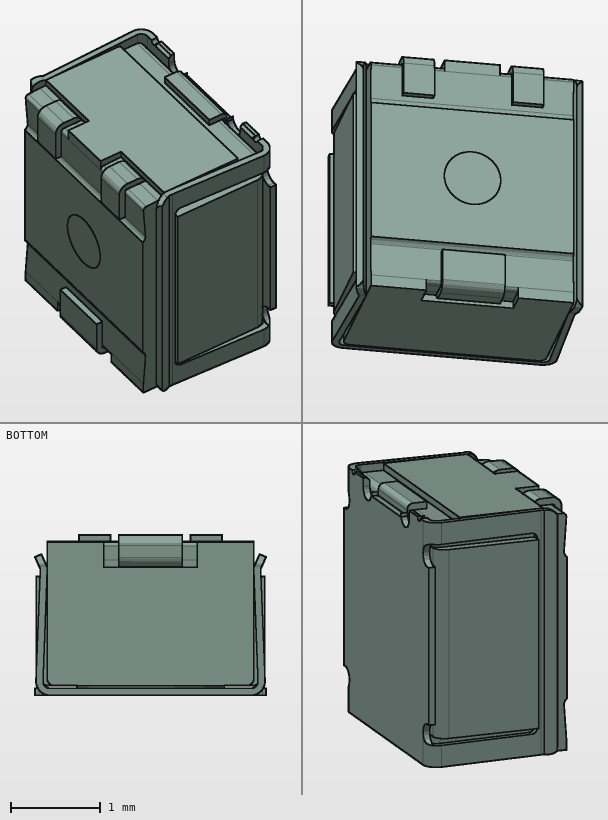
import cadquery as cq
import math

HEIGHT = 2.84
HALF_HEIGHT = HEIGHT / 2
WIDTH = 2.58
HALF_WIDTH = WIDTH / 2
DEPTH = 1.79
BACK_Y = DEPTH / 2
FRONT_Y = -DEPTH / 2
SHEET = 0.08

HOUSING_HALF_WIDTH = 1.153
HOUSING_BACK_Y = 0.787
FACE_Y = -0.82
BACK_FILLET = 0.082
STEP_TOP_Z = HALF_HEIGHT - SHEET
STEP_Y = 0.471
TONGUE_HALF_WIDTH = 0.315
RECESS_BACK_Y = -0.535
BOTTOM_RECESS_HALF_WIDTH = 0.523
PANEL_X = 1.275
PANEL_HALF_HEIGHT = 1.095
PANEL_CORNER = 0.14

RELIEF_Y = -0.785
RELIEF_START_Z = 0.82
RELIEF_DEEP_Z = 0.892
RELIEF_END_Y = -0.812
RELIEF_END_Z = 1.287
RELIEF_DEPTH = RELIEF_Y - FACE_Y
RELIEF_RISE = RELIEF_DEEP_Z - RELIEF_START_Z
RELIEF_RADIUS = (RELIEF_DEPTH**2 + RELIEF_RISE**2) / (2 * RELIEF_DEPTH)
RECESS_EDGE_Y = -0.772
RECESS_SLOPE_Y = -0.615
RECESS_EDGE_Z = 1.332

PLATE_Y = BACK_Y - SHEET
BEND_RADIUS = 0.16
WALL_BACK_X = 1.278
BEND_X = WALL_BACK_X - BEND_RADIUS
WALL_FRONT_X = 1.23
WALL_FRONT_Y = -0.471
KINK_Y = -0.515
FLARE_ANGLE = math.radians(24)
FLARE_CORNER = 0.13
WINDOW_HALF_HEIGHT = 1.167
WINDOW_FRONT_Y = -0.432
WINDOW_CORNER = 0.07
EAR_HALF_HEIGHT = 0.915
EAR_SLOT_X = 1.247
EAR_SLOT_Z = (WINDOW_HALF_HEIGHT + EAR_HALF_HEIGHT) / 2

HOOK_HALF_WIDTH = 0.437
HOOK_FRONT_Y = 0.58
HOOK_RADIUS = 0.07
NOTCH_INNER_X = 0.445
NOTCH_OUTER_X = 0.7
NOTCH_RADIUS = (NOTCH_OUTER_X - NOTCH_INNER_X) / 2
NOTCH_X = (NOTCH_OUTER_X + NOTCH_INNER_X) / 2
NOTCH_BOTTOM_Z = 1.195
PLATE_TOP_Z = 1.278
HOOK_LEG_Z = 1.258
SMALL_NOTCH_X = 0.995
SMALL_NOTCH_RADIUS = 0.04
LUG_OUTER_X = SMALL_NOTCH_X - SMALL_NOTCH_RADIUS
LUG_CHAMFER = 0.035

TERMINAL_RADIUS = 0.115
TERMINAL_END_Z = 0.94
TOP_TERMINAL_WIDTH = 0.352
TOP_TERMINAL_X = 0.622
BOTTOM_TERMINAL_WIDTH = 0.71

PLUG_RADIUS = 0.32
PLUG_LENGTH = 0.085
DISC_RADIUS = 0.825


def box(x_range, y_range, z_range):
    """Box between the given limits along X, Y and Z."""
    size = [high - low for low, high in (x_range, y_range, z_range)]
    centre = [(high + low) / 2 for low, high in (x_range, y_range, z_range)]
    return cq.Workplane("XY").box(*size).translate(tuple(centre))


def cylinder_along_y(x, z, radius, y_range):
    """Cylinder whose axis is parallel to Y."""
    low, high = y_range
    return cq.Workplane("XZ", origin=(x, low, z)).circle(radius).extrude(low - high)


def both_sides(shape):
    """The shape and its mirror image across the YZ plane."""
    return shape.union(shape.mirror("YZ"))


def terminal(width, x):
    """Strip bent from a leg in the housing, over the top edge and down the front face."""
    inner = TERMINAL_RADIUS - SHEET
    top = HALF_HEIGHT
    bend_z = top - TERMINAL_RADIUS
    front_bend_y = FRONT_Y + TERMINAL_RADIUS
    rear_bend_y = RECESS_BACK_Y - TERMINAL_RADIUS
    diagonal = math.sqrt(0.5)
    outer_mid = TERMINAL_RADIUS * diagonal
    inner_mid = inner * diagonal
    return (
        cq.Workplane("YZ", origin=(x - width / 2, 0, 0))
        .moveTo(FRONT_Y, TERMINAL_END_Z)
        .lineTo(FRONT_Y, bend_z)
        .threePointArc((front_bend_y - outer_mid, bend_z + outer_mid), (front_bend_y, top))
        .lineTo(rear_bend_y, top)
        .threePointArc((rear_bend_y + outer_mid, bend_z + outer_mid), (RECESS_BACK_Y, bend_z))
        .lineTo(RECESS_BACK_Y - SHEET, bend_z)
        .threePointArc((rear_bend_y + inner_mid, bend_z + inner_mid), (rear_bend_y, bend_z + inner))
        .lineTo(front_bend_y, bend_z + inner)
        .threePointArc((front_bend_y - inner_mid, bend_z + inner_mid), (FRONT_Y + SHEET, bend_z))
        .lineTo(FRONT_Y + SHEET, TERMINAL_END_Z)
        .close()
        .extrude(width)
    )


terminals = [terminal(TOP_TERMINAL_WIDTH, side * TOP_TERMINAL_X) for side in (-1, 1)]
terminals.append(terminal(BOTTOM_TERMINAL_WIDTH, 0).mirror("XY"))

plug = cylinder_along_y(0, 0, PLUG_RADIUS, (FACE_Y, FACE_Y + PLUG_LENGTH))
disc = cylinder_along_y(0, 0, DISC_RADIUS, (HOUSING_BACK_Y, PLATE_Y))


def housing_block():
    """Block with rounded rear edges, a low rear top and a raised panel on each side."""
    width_range = (-HOUSING_HALF_WIDTH, HOUSING_HALF_WIDTH)
    rear = box(width_range, (FACE_Y, HOUSING_BACK_Y), (-HALF_HEIGHT, STEP_TOP_Z))
    rear = rear.edges("(>Y and |Z) or (>Y and >Z)").fillet(BACK_FILLET)
    front = box(width_range, (FACE_Y, STEP_Y), (STEP_TOP_Z, HALF_HEIGHT))
    panel = box(
        (-PANEL_X, PANEL_X), (WINDOW_FRONT_Y, HOUSING_BACK_Y), (-PANEL_HALF_HEIGHT, PANEL_HALF_HEIGHT)
    )
    panel = panel.edges(">Y and |Z").fillet(PANEL_CORNER)
    return rear.union(front).union(panel)


def front_relief():
    """Material removed along the upper part of the front face, round at its lower edge."""
    mid_angle = math.atan2(RELIEF_RISE, RELIEF_RADIUS - RELIEF_DEPTH) / 2
    arc_mid = (
        RELIEF_Y - RELIEF_RADIUS * (1 - math.cos(mid_angle)),
        RELIEF_DEEP_Z - RELIEF_RADIUS * math.sin(mid_angle),
    )
    return (
        cq.Workplane("YZ", origin=(-HALF_WIDTH, 0, 0))
        .moveTo(FACE_Y, RELIEF_START_Z)
        .threePointArc(arc_mid, (RELIEF_Y, RELIEF_DEEP_Z))
        .lineTo(RELIEF_END_Y, RELIEF_END_Z)
        .lineTo(FACE_Y, RELIEF_END_Z)
        .close()
        .extrude(WIDTH)
    )


def terminal_recess(x_range):
    """Recess in the top behind the front face, with a rounded front edge."""
    low, high = x_range
    edge_rise = RECESS_EDGE_Z - RELIEF_END_Z
    edge_run = RECESS_EDGE_Y - RELIEF_END_Y
    diagonal = math.sqrt(0.5)
    edge_mid = (RECESS_EDGE_Y - edge_run * diagonal, RELIEF_END_Z + edge_rise * diagonal)
    return (
        cq.Workplane("YZ", origin=(low, 0, 0))
        .moveTo(RECESS_BACK_Y, HALF_HEIGHT)
        .lineTo(RECESS_BACK_Y, STEP_TOP_Z)
        .lineTo(RECESS_SLOPE_Y, STEP_TOP_Z)
        .lineTo(RECESS_EDGE_Y, RECESS_EDGE_Z)
        .threePointArc(edge_mid, (RELIEF_END_Y, RELIEF_END_Z))
        .lineTo(FACE_Y, RELIEF_END_Z)
        .lineTo(FACE_Y, HALF_HEIGHT)
        .close()
        .extrude(high - low)
    )


def make_housing():
    body = housing_block()
    relief = front_relief()
    body = body.cut(relief).cut(relief.mirror("XY"))
    body = body.cut(both_sides(terminal_recess((TONGUE_HALF_WIDTH, HOUSING_HALF_WIDTH))))
    bottom_recess = terminal_recess((-BOTTOM_RECESS_HALF_WIDTH, BOTTOM_RECESS_HALF_WIDTH))
    body = body.cut(bottom_recess.mirror("XY"))
    for z_range in ((RELIEF_END_Z, HALF_HEIGHT), (-HALF_HEIGHT, -RELIEF_END_Z)):
        body = body.cut(box((-HALF_WIDTH, HALF_WIDTH), (FACE_Y, RELIEF_END_Y), z_range))
    for metal in terminals:
        body = body.cut(metal)
    return body.cut(plug)


housing = make_housing()


def cover_channel():
    """Back plate with two side walls that lean in and flare out at the front."""
    mid = math.sqrt(0.5)
    inner_radius = BEND_RADIUS - SHEET
    bend_y = BACK_Y - BEND_RADIUS
    tip = (HALF_WIDTH, KINK_Y - (HALF_WIDTH - WALL_FRONT_X) / math.tan(FLARE_ANGLE))
    inner_tip = (tip[0] - SHEET * math.cos(FLARE_ANGLE), tip[1] - SHEET * math.sin(FLARE_ANGLE))
    inner_x = HOUSING_HALF_WIDTH
    inner_kink_y = inner_tip[1] + (inner_tip[0] - inner_x) / math.tan(FLARE_ANGLE)
    half = (
        cq.Workplane("XY", origin=(0, 0, -HALF_HEIGHT))
        .moveTo(0, BACK_Y)
        .lineTo(BEND_X, BACK_Y)
        .threePointArc((BEND_X + BEND_RADIUS * mid, bend_y + BEND_RADIUS * mid), (WALL_BACK_X, bend_y))
        .lineTo(WALL_FRONT_X, WALL_FRONT_Y)
        .lineTo(WALL_FRONT_X, KINK_Y)
        .lineTo(*tip)
        .lineTo(*inner_tip)
        .lineTo(inner_x, inner_kink_y)
        .lineTo(inner_x, WALL_FRONT_Y)
        .lineTo(WALL_BACK_X - SHEET, bend_y)
        .threePointArc((BEND_X + inner_radius * mid, bend_y + inner_radius * mid), (BEND_X, PLATE_Y))
        .lineTo(0, PLATE_Y)
        .close()
        .extrude(HEIGHT)
    )
    corner_trim = (
        box((0, WIDTH), (inner_tip[1], BACK_Y), (-HALF_HEIGHT, HALF_HEIGHT))
        .edges("<Y and |X")
        .fillet(FLARE_CORNER)
    )
    return both_sides(half.intersect(corner_trim))


def side_window():
    """Opening in one side wall that runs back to the plate and has round front corners."""
    z_range = (-WINDOW_HALF_HEIGHT, WINDOW_HALF_HEIGHT)
    wall_part = box((HOUSING_HALF_WIDTH - SHEET, HALF_WIDTH), (WINDOW_FRONT_Y, PLATE_Y), z_range)
    return wall_part.edges("<Y and |X").fillet(WINDOW_CORNER)


def ear():
    """Flat ear of the back plate that reaches out through the window."""
    return box((BEND_X, HALF_WIDTH), (PLATE_Y, BACK_Y), (-EAR_SLOT_Z, EAR_SLOT_Z))


def ear_slot(side):
    """Slot with a round inner end, above (side 1) or below (side -1) the ear."""
    radius = (WINDOW_HALF_HEIGHT - EAR_HALF_HEIGHT) / 2
    z = side * EAR_SLOT_Z
    y_range = (PLATE_Y, BACK_Y)
    slot = box((EAR_SLOT_X, HALF_WIDTH), y_range, (z - radius, z + radius))
    return slot.union(cylinder_along_y(EAR_SLOT_X, z, radius, y_range))


def top_notches():
    """Round-bottomed notch beside the hook and a small round notch near the corner."""
    y_range = (PLATE_Y, BACK_Y)
    centre_z = NOTCH_BOTTOM_Z + NOTCH_RADIUS
    notch = cylinder_along_y(NOTCH_X, centre_z, NOTCH_RADIUS, y_range)
    notch = notch.union(box((NOTCH_INNER_X, NOTCH_OUTER_X), y_range, (centre_z, HALF_HEIGHT)))
    return notch.union(cylinder_along_y(SMALL_NOTCH_X, HALF_HEIGHT, SMALL_NOTCH_RADIUS, y_range))


def lug_chamfer():
    """Bevel on the inner top edge of the lug between the two notches."""
    return (
        cq.Workplane("YZ", origin=(NOTCH_OUTER_X, 0, 0))
        .moveTo(PLATE_Y, HALF_HEIGHT)
        .lineTo(PLATE_Y + LUG_CHAMFER, HALF_HEIGHT)
        .lineTo(PLATE_Y, HALF_HEIGHT - LUG_CHAMFER)
        .close()
        .extrude(LUG_OUTER_X - NOTCH_OUTER_X)
    )


def hook():
    """Tab over the low rear top of the housing, with a leg that joins it to the plate."""
    tab = box(
        (-HOOK_HALF_WIDTH, HOOK_HALF_WIDTH), (HOOK_FRONT_Y, PLATE_Y), (HALF_HEIGHT - SHEET, HALF_HEIGHT)
    )
    tab = tab.edges(">Y and >Z").fillet(HOOK_RADIUS)
    leg = box(
        (-HOOK_HALF_WIDTH, HOOK_HALF_WIDTH), (HOUSING_BACK_Y, PLATE_Y), (HOOK_LEG_Z, HALF_HEIGHT - HOOK_RADIUS)
    )
    return tab.union(leg)


def make_cover():
    body = cover_channel().cut(both_sides(side_window())).union(both_sides(ear()))
    for side in (-1, 1):
        body = body.cut(both_sides(ear_slot(side)))
    body = body.cut(both_sides(top_notches()))
    plate_trim = box((-NOTCH_INNER_X, NOTCH_INNER_X), (PLATE_Y, BACK_Y), (PLATE_TOP_Z, HALF_HEIGHT))
    body = body.cut(plate_trim)
    body = body.cut(both_sides(lug_chamfer()))
    return body.union(hook())


cover = make_cover()

result = cq.Compound.makeCompound(
    [body.solids().val() for body in (housing, cover, plug, disc, *terminals)]
)